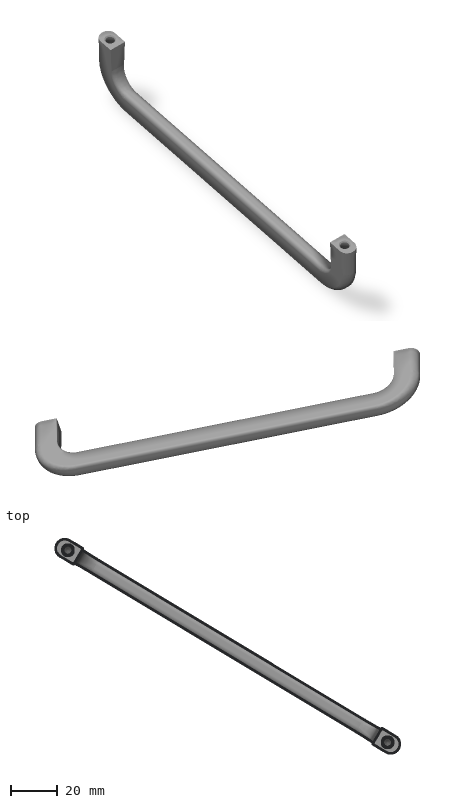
import cadquery as cq
import math

handle_angle = -31.0
height = 32.0
hole_spacing = 160.0
hole_to_inner_face = 5.2
hole_to_outer_end = 5.5

leg_width = 8.0
side_draft = 2.0
bar_thickness = 10.2
bar_inner_radius = 2.2
bar_outer_radius = 1.3
leg_inner_radius = 0.09
cap_roundness = 0.97

bend_radius = 8.5
bend_steps = 6
outer_fade_power = 1.5

hole_diameter = 4.0
hole_mouth_diameter = 5.0
hole_depth = 11.8
drill_point_angle = 118.0

half_spacing = hole_spacing / 2
leg_thickness = hole_to_inner_face + hole_to_outer_end
bend_center_u = half_spacing - hole_to_inner_face - bend_radius
bend_center_z = -height + bar_thickness + bend_radius


def half_width(z):
    """Half the width of the drafted body at height z (zero at the mounting faces)."""
    return leg_width / 2 + z * math.tan(math.radians(side_draft))


def section(u, z, turn, thickness, inner_radius, outer_radius):
    """Rounded section starting at inner point (u, z); turn is 0 on the leg, 90 on the bar."""
    out_u = math.cos(math.radians(turn))
    out_z = -math.sin(math.radians(turn))

    def point(depth, inset, side):
        point_z = z + depth * out_z
        return cq.Vector(u + depth * out_u, side * (half_width(point_z) - inset), point_z)

    def corner(depth, inward, radius, side):
        """Points at the end face, the middle of the arc and the side face."""
        middle = radius * (1 - math.sqrt(0.5))
        return [
            point(depth, radius, side),
            point(depth + inward * middle, middle, side),
            point(depth + inward * radius, 0, side),
        ]

    inner_left = corner(0, 1, inner_radius, -1)
    outer_left = corner(thickness, -1, outer_radius, -1)[::-1]
    outer_right = corner(thickness, -1, outer_radius, 1)
    inner_right = corner(0, 1, inner_radius, 1)[::-1]
    corners = [inner_left, outer_left, outer_right, inner_right]

    edges = []
    for index, arc in enumerate(corners):
        following = corners[(index + 1) % len(corners)]
        edges.append(cq.Edge.makeThreePointArc(*arc))
        edges.append(cq.Edge.makeLine(arc[2], following[0]))
    return cq.Wire.assembleEdges(edges)


def bend_section(step):
    """Section part way round the bend, blending leg proportions into bar proportions."""
    share = step / bend_steps
    turn = 90 * share
    u = bend_center_u + bend_radius * math.cos(math.radians(turn))
    z = bend_center_z - bend_radius * math.sin(math.radians(turn))

    outer_share = 1 - (1 - share) ** outer_fade_power

    def blend(leg_value, bar_value, weight=share):
        return leg_value + (bar_value - leg_value) * weight

    return section(
        u, z, turn,
        blend(leg_thickness, bar_thickness),
        blend(leg_inner_radius, bar_inner_radius),
        blend(cap_roundness * half_width(bend_center_z), bar_outer_radius, outer_share),
    )


def half_handle():
    """One leg, its bend and the bar up to the middle."""
    leg_top = section(
        half_spacing - hole_to_inner_face, 0, 0, leg_thickness,
        leg_inner_radius, cap_roundness * half_width(0),
    )
    bar_middle = section(
        0, bend_center_z - bend_radius, 90, bar_thickness,
        bar_inner_radius, bar_outer_radius,
    )
    bend_sections = [bend_section(step) for step in range(bend_steps + 1)]
    leg = cq.Solid.makeLoft([leg_top, bend_sections[0]], True)
    bend = cq.Solid.makeLoft(bend_sections, False)
    bar = cq.Solid.makeLoft([bend_sections[-1], bar_middle], True)
    return cq.Workplane(leg).union(cq.Workplane(bend)).union(cq.Workplane(bar))


def mounting_hole():
    """Blind drilled hole with a 45 degree countersunk mouth and a conical bottom."""
    radius = hole_diameter / 2
    mouth_radius = hole_mouth_diameter / 2
    point_depth = radius / math.tan(math.radians(drill_point_angle / 2))
    return (
        cq.Workplane("XZ")
        .polyline([
            (0, 0),
            (mouth_radius, 0),
            (radius, radius - mouth_radius),
            (radius, -hole_depth),
            (0, -hole_depth - point_depth),
        ])
        .close()
        .revolve(360, (0, 0, 0), (0, 1, 0))
        .translate((half_spacing, 0, 0))
    )


half = half_handle().cut(mounting_hole())
handle = half.union(half.mirror("YZ"))
result = handle.rotate((0, 0, 0), (0, 0, 1), handle_angle)